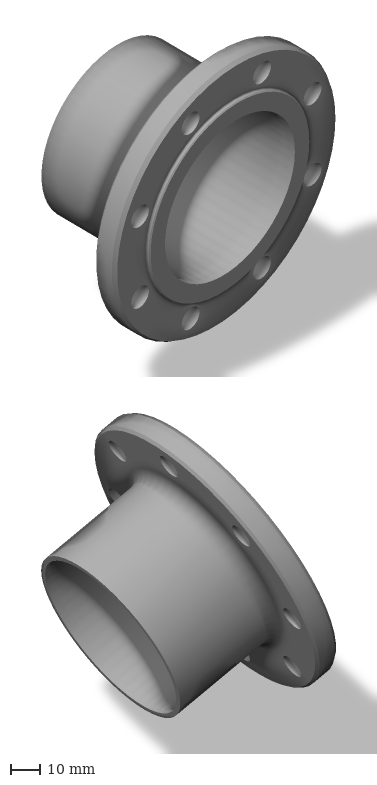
import cadquery as cq

total_length = 55.5
flange_diameter = 113.0
flange_thickness = 9.7
rim_chamfer_depth = 1.0
back_chamfer_length = 1.0
front_chamfer_length = 1.6
pipe_outer_diameter = 70.0
pipe_bore_diameter = 66.0
neck_fillet_radius = 4.2
face_diameter = 81.6
face_height = 1.7
face_chamfer = 0.5
face_fillet_radius = 0.3
bolt_hole_count = 8
bolt_hole_diameter = 9.0
bolt_circle_diameter = 94.9

flange_front = total_length - face_height
flange_back = flange_front - flange_thickness
flange_radius = flange_diameter / 2
rim_radius = flange_radius - rim_chamfer_depth
pipe_radius = pipe_outer_diameter / 2
bore_radius = pipe_bore_diameter / 2
face_radius = face_diameter / 2


def turned_body():
    """Pipe stub, neck fillet, chamfered flange and raised face, revolved about X."""
    return (
        cq.Workplane("XY")
        .moveTo(0, bore_radius)
        .lineTo(0, pipe_radius)
        .lineTo(flange_back - neck_fillet_radius, pipe_radius)
        .radiusArc((flange_back, pipe_radius + neck_fillet_radius), -neck_fillet_radius)
        .lineTo(flange_back, rim_radius)
        .lineTo(flange_back + back_chamfer_length, flange_radius)
        .lineTo(flange_front - front_chamfer_length, flange_radius)
        .lineTo(flange_front, rim_radius)
        .lineTo(flange_front, face_radius + face_fillet_radius)
        .radiusArc((flange_front + face_fillet_radius, face_radius), -face_fillet_radius)
        .lineTo(total_length - face_chamfer, face_radius)
        .lineTo(total_length, face_radius - face_chamfer)
        .lineTo(total_length, bore_radius)
        .close()
        .revolve(360, (0, 0, 0), (1, 0, 0))
    )


def bolt_holes():
    """Through-hole cutters on the bolt circle, straddling the Y and Z axes."""
    half_pitch = 180 / bolt_hole_count
    return (
        cq.Workplane("YZ", origin=(flange_back, 0, 0))
        .polarArray(bolt_circle_diameter / 2, half_pitch, 360, bolt_hole_count)
        .circle(bolt_hole_diameter / 2)
        .extrude(flange_thickness)
    )


result = turned_body().cut(bolt_holes())